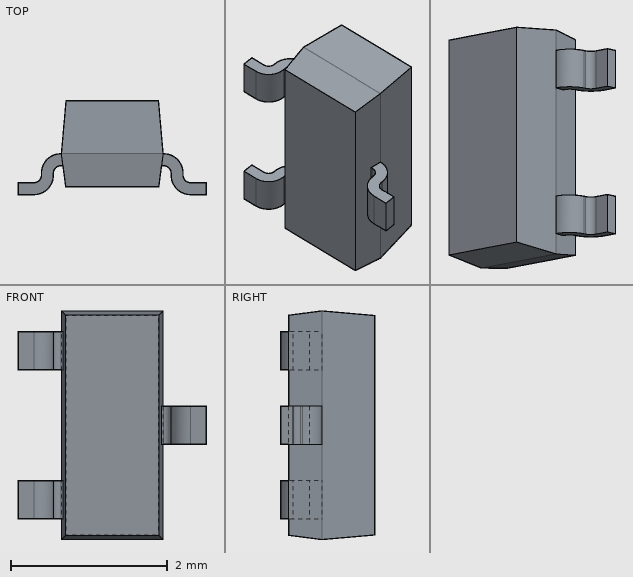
import cadquery as cq
import math

OVERALL_SPAN = 2.4
OVERALL_HEIGHT = 1.2

BODY_WIDTH = 1.3
BODY_LENGTH = 2.92
STANDOFF = 0.1
PARTING_HEIGHT = 0.525
ROOF_DRAFT = 5.0
BASE_DRAFT = 7.4

LEAD_THICKNESS = 0.155
LEAD_WIDTH = 0.49
LEAD_PITCH = 0.95
INNER_RADIUS = 0.095
OUTER_RADIUS = INNER_RADIUS + LEAD_THICKNESS
ROOT_RUN = 0.005
ROOT_OVERLAP = 0.1

LEAD_PLACES = [(-1, -LEAD_PITCH), (-1, LEAD_PITCH), (1, 0.0)]


def drafted_block(height, draft, direction):
    """Block grown from the parting plane along Y, narrowing at the draft angle."""
    plane = cq.Plane(origin=(0, PARTING_HEIGHT, 0), xDir=(1, 0, 0), normal=(0, direction, 0))
    return cq.Workplane(plane).rect(BODY_WIDTH, BODY_LENGTH).extrude(height, taper=draft)


def make_housing():
    """Two drafted blocks joined at the parting plane."""
    roof = drafted_block(OVERALL_HEIGHT - PARTING_HEIGHT, ROOF_DRAFT, 1)
    base = drafted_block(PARTING_HEIGHT - STANDOFF, BASE_DRAFT, -1)
    return roof.union(base)


def make_lead(side, z_centre, housing):
    """S-bent strip whose root ends flush on the drafted wall of the housing."""
    tip_x = OVERALL_SPAN / 2
    root_bend_x = BODY_WIDTH / 2 + ROOT_RUN
    shank_inner_x = root_bend_x + INNER_RADIUS
    shank_outer_x = root_bend_x + OUTER_RADIUS
    root_x = BODY_WIDTH / 2 - ROOT_OVERLAP
    foot_bend_x = shank_inner_x + OUTER_RADIUS
    root_bend_y = PARTING_HEIGHT - OUTER_RADIUS
    foot_bend_y = OUTER_RADIUS
    diagonal = math.sqrt(0.5)

    def on_bend(centre_x, centre_y, radius, toward):
        """Mid-point of a quarter bend; toward is +1 for up-and-out, -1 for down-and-in."""
        reach = toward * radius * diagonal
        return (side * (centre_x + reach), centre_y + reach)

    def at(x, y):
        return (side * x, y)

    strip = (
        cq.Workplane("XY", origin=(0, 0, z_centre))
        .moveTo(*at(tip_x, 0))
        .lineTo(*at(foot_bend_x, 0))
        .threePointArc(on_bend(foot_bend_x, foot_bend_y, OUTER_RADIUS, -1), at(shank_inner_x, foot_bend_y))
        .lineTo(*at(shank_inner_x, root_bend_y))
        .threePointArc(
            on_bend(root_bend_x, root_bend_y, INNER_RADIUS, 1),
            at(root_bend_x, root_bend_y + INNER_RADIUS),
        )
        .lineTo(*at(root_x, root_bend_y + INNER_RADIUS))
        .lineTo(*at(root_x, PARTING_HEIGHT))
        .lineTo(*at(root_bend_x, PARTING_HEIGHT))
        .threePointArc(on_bend(root_bend_x, root_bend_y, OUTER_RADIUS, 1), at(shank_outer_x, root_bend_y))
        .lineTo(*at(shank_outer_x, foot_bend_y))
        .threePointArc(
            on_bend(foot_bend_x, foot_bend_y, INNER_RADIUS, -1),
            at(foot_bend_x, LEAD_THICKNESS),
        )
        .lineTo(*at(tip_x, LEAD_THICKNESS))
        .close()
        .extrude(LEAD_WIDTH / 2, both=True)
    )
    return strip.cut(housing)


housing = make_housing()
leads = [make_lead(side, z_centre, housing) for side, z_centre in LEAD_PLACES]

result = cq.Compound.makeCompound([housing.solids().val(), *[lead.val() for lead in leads]])